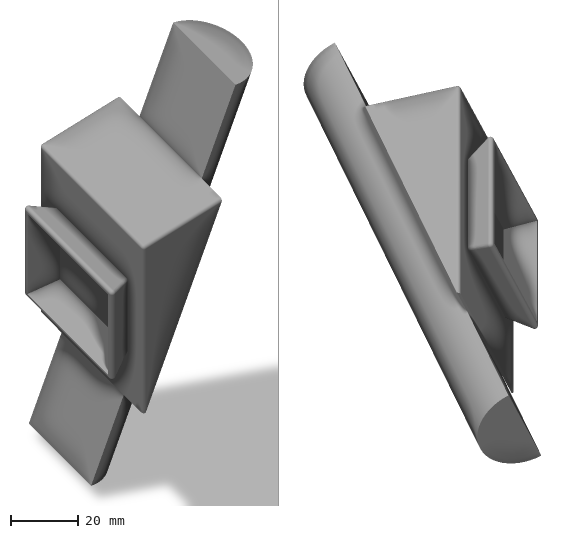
import cadquery as cq
import math

bar_length = 160.0
bar_radius = 15.0
lean_angle = 20.0

block_width = 50.0
block_height = 80.0
block_top_depth = 30.0
edge_radius = 1.01

cup_base_width = 35.0
cup_depth = 9.0
cup_flare_angle = 25.0
cup_wall = 2.3

lean_slope = math.tan(math.radians(lean_angle))
block_top_back = block_height / 2 * lean_slope
block_front = block_top_back - block_top_depth
cup_rim_width = cup_base_width + 2 * cup_depth * math.tan(math.radians(cup_flare_angle))


def make_bar():
    """Half cylinder whose flat face is centred on the origin and faces the block."""
    upright = (
        cq.Workplane("XY", origin=(0, 0, -bar_length / 2))
        .moveTo(-bar_radius, 0)
        .threePointArc((0, bar_radius), (bar_radius, 0))
        .close()
        .extrude(bar_length)
    )
    return upright.rotate((0, 0, 0), (1, 0, 0), -lean_angle)


def make_block():
    """Wedge with a narrow lower end, rounded on its front, top and side edges."""
    top = block_height / 2
    wedge = (
        cq.Workplane("YZ", origin=(-block_width / 2, 0, 0))
        .polyline([
            (block_front, -top),
            (-block_top_back, -top),
            (block_top_back, top),
            (block_front, top),
        ])
        .close()
        .extrude(block_width)
    )
    front_and_top_edges = (
        wedge.edges("|Z")
        .add(wedge.edges(">Z and |Y"))
        .add(wedge.edges(">Z and |X and <Y"))
    )
    return front_and_top_edges.fillet(edge_radius)


def flared_square(base_width, rim_width):
    """Square frustum widening from the block's front face to the cup rim."""
    return (
        cq.Workplane("XZ", origin=(0, block_front, 0))
        .rect(base_width, base_width)
        .workplane(offset=cup_depth)
        .rect(rim_width, rim_width)
        .loft(ruled=True)
    )


def make_cup():
    """Thin-walled flared cup with rounded outer corners and outer rim."""
    outside = flared_square(cup_base_width, cup_rim_width)
    outside = outside.edges("not >Y").fillet(edge_radius)
    inside = flared_square(cup_base_width - 2 * cup_wall, cup_rim_width - 2 * cup_wall)
    return outside.cut(inside)


result = make_bar().union(make_block()).union(make_cup())